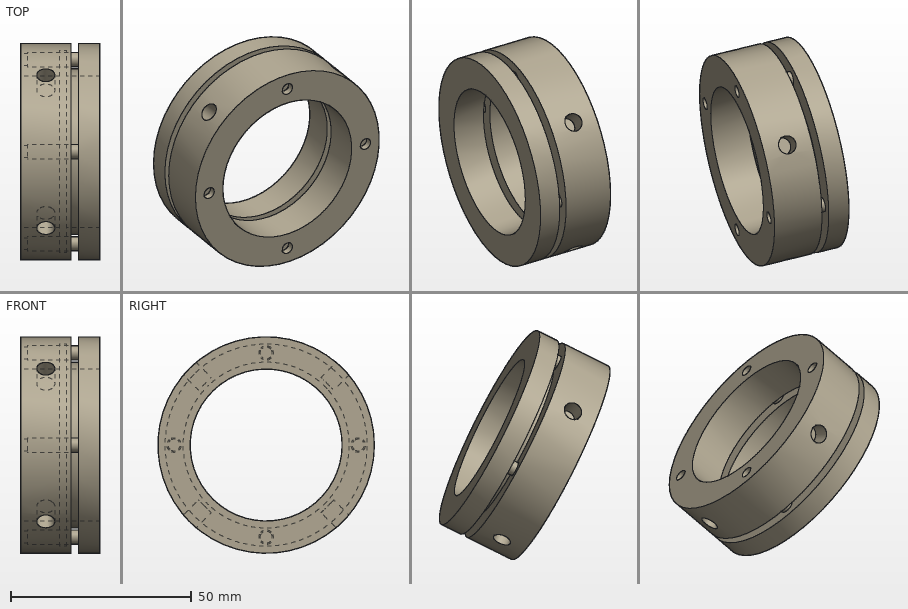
import cadquery as cq

outer_radius = 30.0
bore_radius = 21.0
length = 22.0

slot_width = 2.0
rim_thickness = 2.0
web_thickness = 1.25
flange_thickness = 6.0
outer_slot_start = length - flange_thickness - slot_width
outer_slot_floor_radius = bore_radius + rim_thickness
bore_slot_start = outer_slot_start - web_thickness - slot_width
bore_slot_floor_radius = outer_radius - rim_thickness

pin_count = 4
pin_diameter = 4.0
access_hole_diameter = 3.3
access_hole_depth = 2.0
pin_start = access_hole_depth
pin_length = outer_slot_start + slot_width - pin_start
pin_circle_radius = (outer_radius + bore_radius) / 2

radial_hole_diameter = 5.0
radial_hole_depth = 6.0
radial_hole_x = outer_slot_start / 2
radial_hole_offset_angle = 360.0 / pin_count / 2


def ring(start, ring_length, outside_radius, inside_radius):
    """Annular ring around the X axis."""
    return (
        cq.Workplane("YZ", origin=(start, 0, 0))
        .circle(outside_radius)
        .circle(inside_radius)
        .extrude(ring_length)
    )


def rod(start, rod_length, diameter, angle):
    """Cylinder parallel to X on the pin circle, turned by the given angle about X."""
    cylinder = (
        cq.Workplane("YZ", origin=(start, 0, pin_circle_radius))
        .circle(diameter / 2)
        .extrude(rod_length)
    )
    return cylinder.rotate((0, 0, 0), (1, 0, 0), angle)


def radial_hole(angle):
    """Cutter for one blind hole sunk from the outside of the ring toward the axis."""
    cylinder = (
        cq.Workplane("XY", origin=(radial_hole_x, 0, outer_radius - radial_hole_depth))
        .circle(radial_hole_diameter / 2)
        .extrude(radial_hole_depth)
    )
    return cylinder.rotate((0, 0, 0), (1, 0, 0), angle)


def make_pin(angle):
    """One adjusting pin; the same shape also cuts its hole in the housing."""
    return rod(pin_start, pin_length, pin_diameter, angle)


def make_housing(angles):
    """Slotted ring with pin holes, access holes and radial holes."""
    body = ring(0, length, outer_radius, bore_radius)
    body = body.cut(ring(outer_slot_start, slot_width, outer_radius, outer_slot_floor_radius))
    body = body.cut(ring(bore_slot_start, slot_width, bore_slot_floor_radius, bore_radius))
    for angle in angles:
        body = body.cut(rod(0, access_hole_depth, access_hole_diameter, angle))
        body = body.cut(make_pin(angle))
        body = body.cut(radial_hole(angle + radial_hole_offset_angle))
    return body


pin_angles = [index * 360.0 / pin_count for index in range(pin_count)]
housing = make_housing(pin_angles)
pins = [make_pin(angle) for angle in pin_angles]

result = cq.Compound.makeCompound([housing.val(), *[pin.val() for pin in pins]])